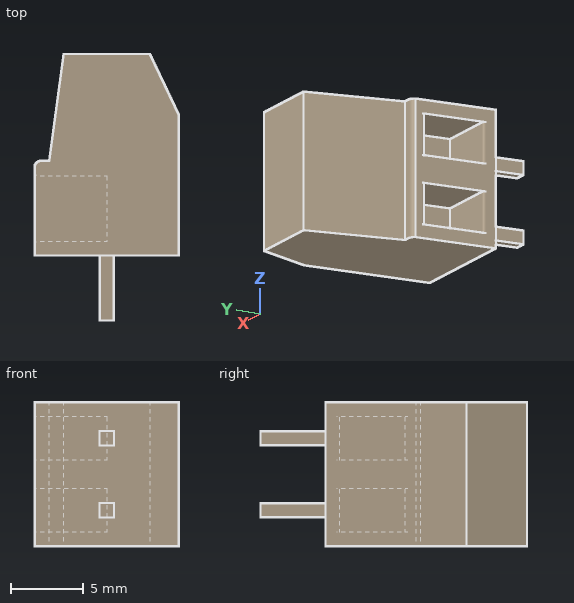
import cadquery as cq


pole_count = 2
pole_pitch = 5.0

body_width = 10.0
body_length = 14.0
body_height = pole_count * pole_pitch
step_y = 6.6
step_depth = 1.0
crown_left_x = 2.0
crown_right_x = 8.0
slope_start_y = 9.8
step_round_x = 0.47
step_round_y = 0.32

pocket_start_y = 1.0
pocket_length = 4.53
pocket_height = 3.0
pocket_depth = body_width / 2
mouth_round_x = 0.23
mouth_round_y = 0.19

pin_size = 1.0
pin_length = 4.5
pin_center_x = body_width / 2


def make_housing():
    """Housing block with a stepped, tapered -X side and a sloped +X corner."""
    return (
        cq.Workplane("XY")
        .moveTo(0, 0)
        .lineTo(body_width, 0)
        .lineTo(body_width, slope_start_y)
        .lineTo(crown_right_x, body_length)
        .lineTo(crown_left_x, body_length)
        .lineTo(step_depth, step_y)
        .lineTo(step_round_x, step_y)
        .tangentArcPoint((-step_round_x, -step_round_y))
        .close()
        .extrude(body_height)
    )


def make_pocket(center_z):
    """Rectangular wire pocket whose two upright mouth edges flare outward as rounds."""
    near_y = pocket_start_y
    far_y = pocket_start_y + pocket_length
    mouth_radius = (mouth_round_x**2 + mouth_round_y**2) / (2 * mouth_round_y)
    return (
        cq.Workplane("XY", origin=(0, 0, center_z - pocket_height / 2))
        .moveTo(pocket_depth, far_y)
        .lineTo(mouth_round_x, far_y)
        .tangentArcPoint((-mouth_round_x, mouth_round_y))
        .lineTo(0, near_y - mouth_round_y)
        .radiusArc((mouth_round_x, near_y), mouth_radius)
        .lineTo(pocket_depth, near_y)
        .close()
        .extrude(pocket_height)
    )


def make_pin(center_z):
    """Square solder pin standing out of the -Y face."""
    return (
        cq.Workplane("XZ", origin=(pin_center_x, 0, center_z))
        .rect(pin_size, pin_size)
        .extrude(pin_length)
    )


result = make_housing()
for pole in range(pole_count):
    pole_z = pole_pitch / 2 + pole * pole_pitch
    result = result.cut(make_pocket(pole_z))
    result = result.union(make_pin(pole_z))